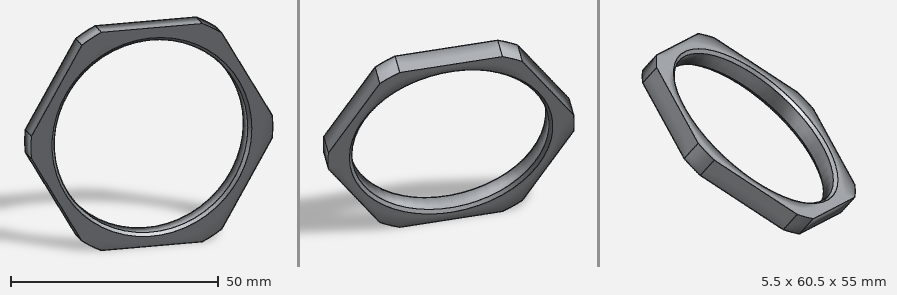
import cadquery as cq
import math

thickness = 5.5
across_flats = 54.95
corner_diameter = 60.5
bore_diameter = 48.4
chamfer = 0.8

across_corners = across_flats / math.cos(math.pi / 6)
hexagon = cq.Workplane("YZ").polygon(6, across_corners).extrude(thickness / 2, both=True)
corner_cylinder = cq.Workplane("YZ").circle(corner_diameter / 2).extrude(thickness / 2, both=True)
body = hexagon.intersect(corner_cylinder)

bore = cq.Workplane("YZ").circle(bore_diameter / 2).extrude(thickness / 2, both=True)
nut = body.cut(bore)
bore_rims = cq.selectors.RadiusNthSelector(0)
result = nut.edges("%CIRCLE").edges(bore_rims).chamfer(chamfer)